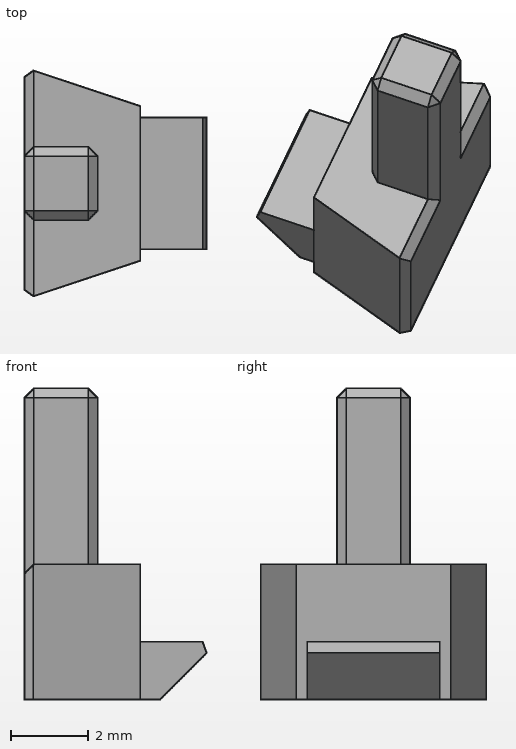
import cadquery as cq

total_height = 8.05
edge_chamfer = 0.25

body_length = 3.0
body_height = 3.5
body_back_width = 6.0
body_front_width = 4.0

post_side = 1.9

latch_reach = 4.72
latch_width = 3.41
latch_height = 1.5
latch_tip_height = 1.21
latch_top_reach = 4.61
latch_bottom_reach = latch_reach - latch_tip_height


def make_body():
    """Trapezoidal block with chamfered back corners and back top edge."""
    block = (
        cq.Workplane("XY")
        .polyline([
            (0, -body_back_width / 2),
            (body_length, -body_front_width / 2),
            (body_length, body_front_width / 2),
            (0, body_back_width / 2),
        ])
        .close()
        .extrude(body_height)
    )
    back_edges = block.faces("<X").edges("|Z or >Z")
    return back_edges.chamfer(edge_chamfer)


def make_post():
    """Square post with chamfered sides and top, rooted inside the body."""
    root_height = body_height / 2
    return (
        cq.Workplane("XY", origin=(post_side / 2, 0, root_height))
        .rect(post_side, post_side)
        .extrude(total_height - root_height)
        .edges("|Z or >Z")
        .chamfer(edge_chamfer)
    )


def make_latch():
    """Wedge profile in XZ, rooted inside the body and centred on Y = 0."""
    root = body_length / 2
    return (
        cq.Workplane("XZ")
        .polyline([
            (root, 0),
            (latch_bottom_reach, 0),
            (latch_reach, latch_tip_height),
            (latch_top_reach, latch_height),
            (root, latch_height),
        ])
        .close()
        .extrude(latch_width / 2, both=True)
    )


result = make_body().union(make_post()).union(make_latch())